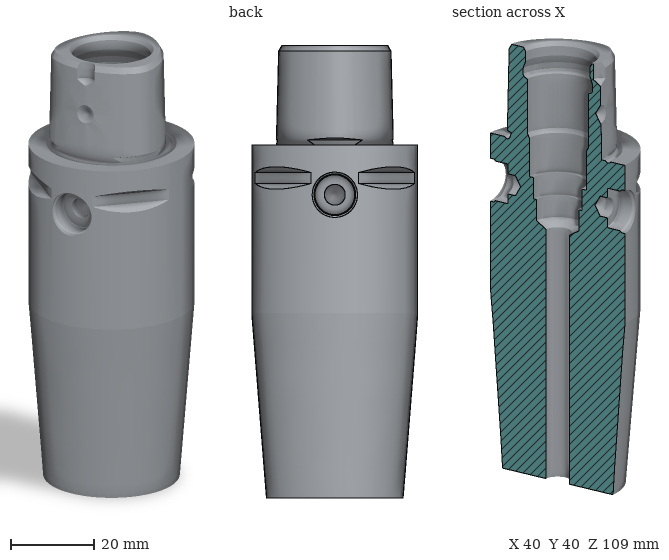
import cadquery as cq
import math

TOTAL_HEIGHT = 109
BODY_RADIUS = 40.0 / 2
NOSE_RADIUS = 16.5
NOSE_HEIGHT = 44.5
FLANGE_HEIGHT = 85

LOBE_COUNT = 3
SHANK_MEAN_RADIUS = 14.1
LOBE_HEIGHT = 1.0
SHANK_TAPER = 1 / 40
LOBE_HALF_ANGLE = 30
NECK_HEIGHT = 1.5
TIP_CHAMFER_HEIGHT = 1.4
TIP_CHAMFER_ANGLE = 30
TAPER_START = FLANGE_HEIGHT + NECK_HEIGHT
TAPER_END = TOTAL_HEIGHT - TIP_CHAMFER_HEIGHT

RECESS_RADIUS = 15.7
RECESS_INNER_RADIUS = 14.3
RECESS_DEPTH = 0.4
UNDERCUT_RADIUS = 13.8
UNDERCUT_DROP = 0.3
UNDERCUT_RISE = 0.4

MOUTH_RADIUS = 10.1
ENTRY_RADIUS = 9.5
GROOVE_RADIUS = 20.5 / 2
GROOVE_FLOOR_RADIUS = 20.0 / 2
BORE_RADIUS = 18.0 / 2
DEEP_BORE_RADIUS = 8.4
STEP_RADIUS = 14.3 / 2
CONE_RADIUS = 12.4 / 2
COOLANT_RADIUS = 6.9 / 2
MOUTH_CHAMFER_DEPTH = 1.1
ENTRY_DEPTH = 3.5
GROOVE_TOP_DEPTH = 5.5
GROOVE_WALL_DEPTH = 7.0
GROOVE_FLOOR_DEPTH = 7.5
LEDGE_DEPTH = 8.0
BORE_DEPTH = 21.8
BORE_CONE_HEIGHT = 1.1
DEEP_BORE_DEPTH = 32.7
STEP_DEPTH = 38.2
CONE_DEPTH = 43.6
DRILL_POINT_ANGLE = 118

SLOT_COUNT = 4
SLOT_HEIGHT = 77.1
SLOT_DEPTH = 2.4
SLOT_FLOOR_WIDTH = 2.6
SLOT_SIDE_ANGLE = 30

POCKET_HEIGHT = 73
POCKET_MOUTH_RADIUS = 5.5
POCKET_RADIUS = 10.0 / 2
POCKET_FLOOR_RADIUS = 4.8
POCKET_LIP_DEPTH = 1.1
POCKET_DEPTH = 5.2
PILOT_RADIUS = 5.0 / 2
PILOT_DEPTH = 2.2

DIMPLE_HEIGHT = 96.5
DIMPLE_RADIUS = 4.6 / 2
DIMPLE_BOTTOM = 12.6
NOTCH_RADIUS = 5.0 / 2
NOTCH_OFFSET = 13.1
NOTCH_DEPTH = 4.0

CLEARANCE = 2.2


def point_length(radius):
    """Length of a drill point of the given radius."""
    return radius / math.tan(math.radians(DRILL_POINT_ANGLE / 2))


def revolve_z(points):
    """Solid turned about Z from (radius, z) points."""
    return cq.Workplane("XZ").polyline(points).close().revolve(360, (0, 0, 0), (0, 1, 0))


def lobed_wire(mean_radius, z):
    """Closed curve of almost constant width, one lobe pointing to +Y, split at the ends of the lobes."""

    def point(angle):
        reach = mean_radius - LOBE_HEIGHT * math.sin(LOBE_COUNT * angle)
        slope = -LOBE_COUNT * LOBE_HEIGHT * math.cos(LOBE_COUNT * angle)
        return cq.Vector(
            reach * math.cos(angle) - slope * math.sin(angle),
            reach * math.sin(angle) + slope * math.cos(angle),
            z,
        )

    def span(start, end):
        steps = 12
        angles = [start + (end - start) * i / steps for i in range(steps + 1)]
        tangents = [cq.Vector(-math.sin(a), math.cos(a), 0) for a in (start, end)]
        return cq.Edge.makeSpline([point(a) for a in angles], tangents=tangents)

    pitch = 2 * math.pi / LOBE_COUNT
    half_lobe = math.radians(LOBE_HALF_ANGLE)
    edges = []
    for i in range(LOBE_COUNT):
        lobe = math.pi / 2 + i * pitch
        edges.append(span(lobe - half_lobe, lobe + half_lobe))
        edges.append(span(lobe + half_lobe, lobe + pitch - half_lobe))
    return cq.Wire.assembleEdges(edges)


def make_body():
    recess_middle = (RECESS_RADIUS + RECESS_INNER_RADIUS) / 2
    return (
        cq.Workplane("XZ")
        .lineTo(NOSE_RADIUS, 0)
        .lineTo(BODY_RADIUS, NOSE_HEIGHT)
        .lineTo(BODY_RADIUS, FLANGE_HEIGHT)
        .lineTo(RECESS_RADIUS, FLANGE_HEIGHT)
        .threePointArc((recess_middle, FLANGE_HEIGHT - RECESS_DEPTH), (RECESS_INNER_RADIUS, FLANGE_HEIGHT))
        .lineTo(0, FLANGE_HEIGHT)
        .close()
        .revolve(360, (0, 0, 0), (0, 1, 0))
    )


def make_shank():
    shoulder_radius = SHANK_MEAN_RADIUS - SHANK_TAPER * (TAPER_END - TAPER_START)
    tip_radius = shoulder_radius - TIP_CHAMFER_HEIGHT * math.tan(math.radians(TIP_CHAMFER_ANGLE))
    sections = [
        lobed_wire(SHANK_MEAN_RADIUS, FLANGE_HEIGHT),
        lobed_wire(SHANK_MEAN_RADIUS, TAPER_START),
        lobed_wire(shoulder_radius, TAPER_END),
        lobed_wire(tip_radius, TOTAL_HEIGHT),
    ]
    shank = cq.Workplane(cq.Solid.makeLoft(sections, True))
    undercut = revolve_z([
        (RECESS_INNER_RADIUS, FLANGE_HEIGHT),
        (UNDERCUT_RADIUS, TAPER_START - UNDERCUT_DROP),
        (RECESS_RADIUS, TAPER_START + UNDERCUT_RISE),
        (RECESS_RADIUS, FLANGE_HEIGHT),
    ])
    return shank.cut(undercut)


def make_bore():
    def level(depth):
        return TOTAL_HEIGHT - depth

    cone_end = CONE_DEPTH + point_length(CONE_RADIUS - COOLANT_RADIUS)
    return revolve_z([
        (0, level(0)),
        (MOUTH_RADIUS, level(0)),
        (ENTRY_RADIUS, level(MOUTH_CHAMFER_DEPTH)),
        (ENTRY_RADIUS, level(ENTRY_DEPTH)),
        (GROOVE_RADIUS, level(GROOVE_TOP_DEPTH)),
        (GROOVE_RADIUS, level(GROOVE_WALL_DEPTH)),
        (GROOVE_FLOOR_RADIUS, level(GROOVE_FLOOR_DEPTH)),
        (BORE_RADIUS, level(LEDGE_DEPTH)),
        (BORE_RADIUS, level(BORE_DEPTH)),
        (DEEP_BORE_RADIUS, level(BORE_DEPTH + BORE_CONE_HEIGHT)),
        (DEEP_BORE_RADIUS, level(DEEP_BORE_DEPTH)),
        (STEP_RADIUS, level(DEEP_BORE_DEPTH)),
        (STEP_RADIUS, level(STEP_DEPTH)),
        (CONE_RADIUS, level(STEP_DEPTH)),
        (CONE_RADIUS, level(CONE_DEPTH)),
        (COOLANT_RADIUS, level(cone_end)),
        (COOLANT_RADIUS, 0),
        (0, 0),
    ])


def make_slots():
    floor_distance = BODY_RADIUS - SLOT_DEPTH
    outer_distance = BODY_RADIUS + CLEARANCE
    half_floor = SLOT_FLOOR_WIDTH / 2
    half_mouth = half_floor + (outer_distance - floor_distance) * math.tan(math.radians(SLOT_SIDE_ANGLE))
    slot = (
        cq.Workplane("XZ")
        .polyline([
            (floor_distance, SLOT_HEIGHT - half_floor),
            (outer_distance, SLOT_HEIGHT - half_mouth),
            (outer_distance, SLOT_HEIGHT + half_mouth),
            (floor_distance, SLOT_HEIGHT + half_floor),
        ])
        .close()
        .extrude(BODY_RADIUS, both=True)
    )
    pitch = 360 / SLOT_COUNT
    slots = cq.Workplane()
    for i in range(SLOT_COUNT):
        slots = slots.add(slot.rotate((0, 0, 0), (0, 0, 1), (i + 0.5) * pitch))
    return slots.combine()


def turn_to_front(tool, height):
    """Lay a tool turned about Z along the Y axis, so that its +Z end faces -Y."""
    return tool.rotate((0, 0, 0), (1, 0, 0), 90).translate((0, 0, height))


def make_pockets():
    floor = BODY_RADIUS - POCKET_DEPTH
    lip = BODY_RADIUS - POCKET_LIP_DEPTH
    pilot_end = floor - PILOT_DEPTH
    pocket = turn_to_front(revolve_z([
        (0, pilot_end - point_length(PILOT_RADIUS)),
        (PILOT_RADIUS, pilot_end),
        (PILOT_RADIUS, floor),
        (POCKET_FLOOR_RADIUS, floor),
        (POCKET_RADIUS, floor + POCKET_RADIUS - POCKET_FLOOR_RADIUS),
        (POCKET_RADIUS, lip - (POCKET_MOUTH_RADIUS - POCKET_RADIUS)),
        (POCKET_MOUTH_RADIUS, lip),
        (POCKET_MOUTH_RADIUS, BODY_RADIUS + CLEARANCE),
        (0, BODY_RADIUS + CLEARANCE),
    ]), POCKET_HEIGHT)
    return pocket.union(pocket.mirror("XZ"))


def make_dimple():
    return turn_to_front(revolve_z([
        (0, DIMPLE_BOTTOM - point_length(DIMPLE_RADIUS)),
        (DIMPLE_RADIUS, DIMPLE_BOTTOM),
        (DIMPLE_RADIUS, SHANK_MEAN_RADIUS + CLEARANCE),
        (0, SHANK_MEAN_RADIUS + CLEARANCE),
    ]), DIMPLE_HEIGHT)


def make_notch():
    notch_floor = TOTAL_HEIGHT - NOTCH_DEPTH
    return revolve_z([
        (0, notch_floor - point_length(NOTCH_RADIUS)),
        (NOTCH_RADIUS, notch_floor),
        (NOTCH_RADIUS, TOTAL_HEIGHT + CLEARANCE),
        (0, TOTAL_HEIGHT + CLEARANCE),
    ]).translate((0, -NOTCH_OFFSET, 0))


result = make_body().union(make_shank())
for tool in (make_bore(), make_slots(), make_pockets(), make_dimple(), make_notch()):
    result = result.cut(tool)